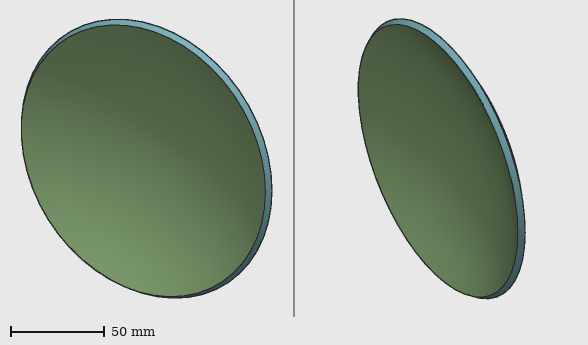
import cadquery as cq
import math

rim_radius = 79.5
outer_radius = 150.4
thickness = 4.0

inner_radius = outer_radius - thickness
rim_angle = math.asin(rim_radius / outer_radius)
centre_y = -inner_radius * math.cos(rim_angle)


def on_sphere(radius, angle):
    """Profile point at an angle from the +Y axis of the dish."""
    return (radius * math.sin(angle), centre_y + radius * math.cos(angle))


profile = (
    cq.Workplane("XY")
    .moveTo(*on_sphere(inner_radius, 0))
    .lineTo(*on_sphere(outer_radius, 0))
    .threePointArc(on_sphere(outer_radius, rim_angle / 2), on_sphere(outer_radius, rim_angle))
    .lineTo(*on_sphere(inner_radius, rim_angle))
    .threePointArc(on_sphere(inner_radius, rim_angle / 2), on_sphere(inner_radius, 0))
    .close()
)

result = profile.revolve(360, (0, 0, 0), (0, 1, 0))